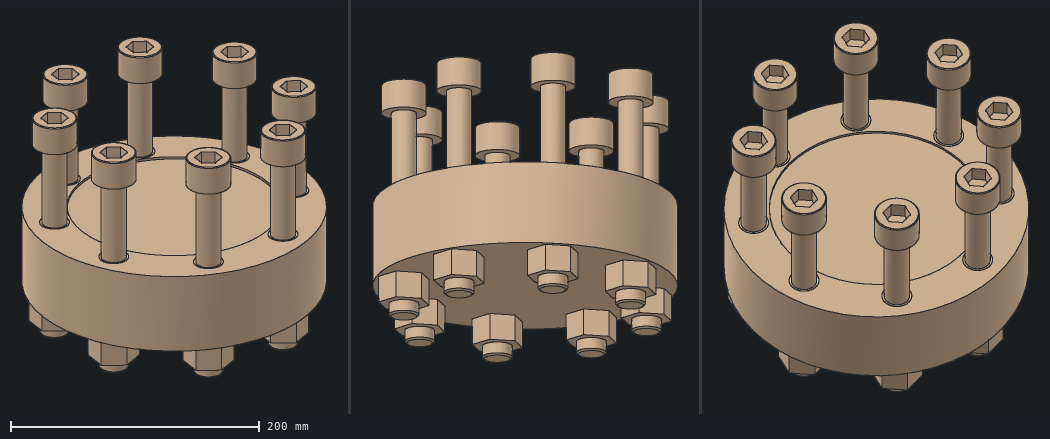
import cadquery as cq
import math

disc_diameter = 245.0
disc_height = 67.5
recess_diameter = 172.0
recess_depth = 2.0

bolt_count = 8
bolt_circle_diameter = 200.0
thread_diameter = 24.0
shank_diameter = 20.3
shank_gap = 70.3
thread_step_depth = 0.2

head_diameter = 36.0
head_height = thread_diameter
head_chamfer = 0.7
socket_flats = 19.0
socket_depth = head_height / 2

nut_flats = head_diameter
nut_height = 21.5
tip_length = 10.5
tip_chamfer = 1.5

head_bottom = disc_height + shank_gap
head_top = head_bottom + head_height
step_floor = disc_height - thread_step_depth


def hexagon_prism(flats, height, bottom):
    """Upright hexagonal prism with two flats facing -X and +X."""
    corner_diameter = flats / math.cos(math.radians(30))
    prism = cq.Workplane("XY").polygon(6, corner_diameter).extrude(height)
    return prism.rotate((0, 0, 0), (0, 0, 1), 30).translate((0, 0, bottom))


def cylinder(diameter, height, bottom):
    """Upright cylinder on the Z axis."""
    return cq.Workplane("XY").workplane(offset=bottom).circle(diameter / 2).extrude(height)


def make_disc():
    disc = cylinder(disc_diameter, disc_height, 0)
    return disc.cut(cylinder(recess_diameter, recess_depth, disc_height - recess_depth))


def make_bolt():
    """Socket head screw with its nut, on the Z axis."""
    head = cylinder(head_diameter, head_height, head_bottom).faces(">Z").edges().chamfer(head_chamfer)
    head = head.cut(hexagon_prism(socket_flats, socket_depth, head_top - socket_depth))
    shank = cylinder(shank_diameter, head_bottom - step_floor, step_floor)
    thread_bottom = -nut_height - tip_length
    thread = cylinder(thread_diameter, step_floor - thread_bottom, thread_bottom)
    thread = thread.faces("<Z").edges().chamfer(tip_chamfer)
    nut = hexagon_prism(nut_flats, nut_height, -nut_height)
    return thread.union(nut).union(shank).union(head)


bolt = make_bolt()
step_pocket = cylinder(thread_diameter, thread_step_depth, step_floor)
bolt_places = cq.Workplane("XY").polarArray(bolt_circle_diameter / 2, 0, 360, bolt_count, rotate=False).vals()

result = make_disc()
for place in bolt_places:
    result = result.cut(step_pocket.val().moved(place))
    result = result.union(bolt.val().moved(place))